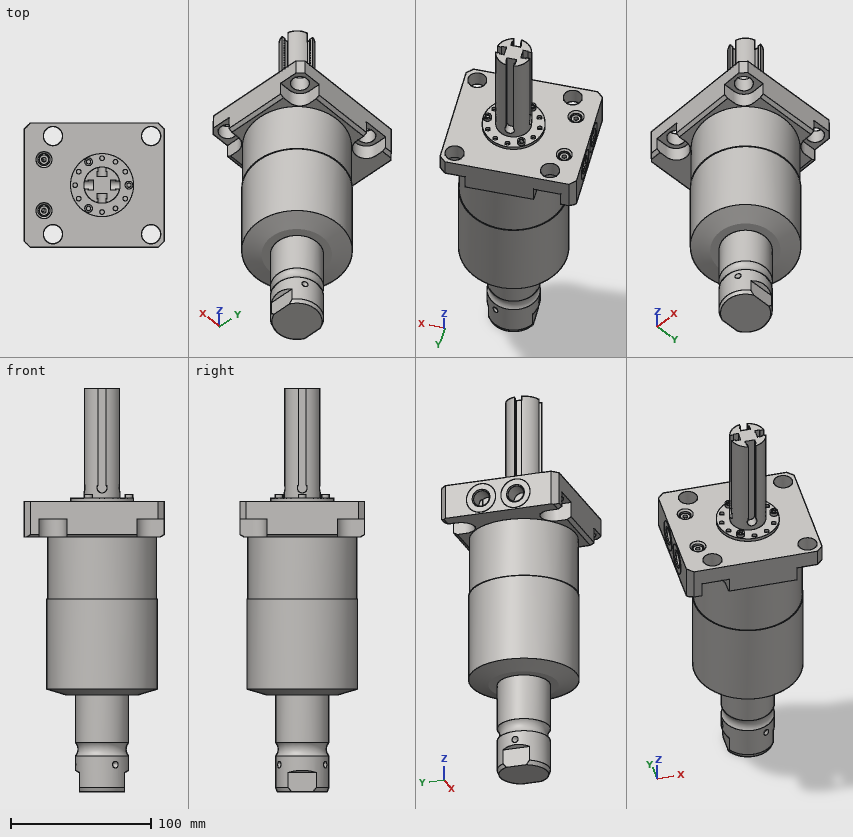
import cadquery as cq
import math


plate_length = 100.0
plate_width = 88.9
plate_thickness = 25.4
plate_x_max = plate_width / 2
plate_x_min = plate_x_max - plate_length
corner_chamfer = 4.5
bottom_chamfer_width = 3.0
bottom_chamfer_height = 1.7

bolt_spacing = 70.0
bolt_hole_diameter = 13.5
pocket_radius = 10.0
pocket_height = 12.8

port_y = 13.0
port_z = -13.3
port_diameter = 11.8
port_chamfer = 0.8
port_depth = 14.0
port_face_diameter = 22.0
port_face_depth = 0.2

plug_x = -41.4
plug_y = 18.2
plug_sink_diameter = 11.4
plug_bore_diameter = 8.6
plug_sink_depth = (plug_sink_diameter - plug_bore_diameter) / 2
plug_recess_depth = 2.2
plug_groove_inner_diameter = 6.8
plug_groove_depth = 0.8
plug_passage_diameter = 3.2
plug_passage_depth = 14.5

cover_diameter = 45.0
cover_height = 2.4
cover_hole_count = 12
cover_hole_circle_radius = 19.2
cover_hole_diameter = 3.3
screw_spacing = 4
screw_head_diameter = 5.5
screw_head_height = 2.6
screw_socket_width = 3.0
screw_socket_depth = 1.3

total_height = 287.88
shaft_diameter = 25.8
shaft_top = 80.7
slot_count = 4
slot_mouth_width = 5.6
slot_inner_width = 7.0
slot_floor_radius = 6.1
slot_lip_radius = 9.7
slot_end_height = 9.6

upper_body_diameter = 77.8
lower_body_diameter = 79.0
upper_body_bottom = -69.5
cone_top = -133.9
cone_bottom = -138.2
cone_end_diameter = 50.2
spindle_diameter = 38.1
spindle_bottom = shaft_top - total_height
spindle_chamfer_width = 1.2
spindle_chamfer_height = 3.2
groove_top = -172.0
groove_bottom = -181.4
groove_depth = 1.8

flat_half_width = 16.2
flat_top = -193.4
flat_run_out_angle = 30.0
dimple_count = 3
dimple_z = -187.7
dimple_diameter = 4.8
dimple_depth = dimple_diameter / 2


def upright_cylinder(diameter, bottom, top, x=0.0, y=0.0):
    """Cylinder parallel to Z between two heights."""
    return cq.Workplane("XY", origin=(x, y, bottom)).circle(diameter / 2).extrude(top - bottom)


def block(x_min, x_max, y_min, y_max, z_min, z_max):
    """Box given by its limits."""
    box = cq.Workplane("XY").box(x_max - x_min, y_max - y_min, z_max - z_min, centered=False)
    return box.translate((x_min, y_min, z_min))


def make_plate():
    """Plate with chamfered corners and three chamfered lower edges."""
    plate = block(plate_x_min, plate_x_max, -plate_width / 2, plate_width / 2, -plate_thickness, 0)
    plate = plate.edges("|Z").chamfer(corner_chamfer)
    half = plate_width / 2
    bottom = -plate_thickness
    wedge = (
        cq.Workplane("YZ", origin=(-plate_length, 0, 0))
        .moveTo(half, bottom)
        .lineTo(half - bottom_chamfer_width, bottom)
        .lineTo(half, bottom + bottom_chamfer_height)
        .close()
        .extrude(2 * plate_length)
    )
    for angle in (-90, 0, 180):
        plate = plate.cut(wedge.rotate((0, 0, 0), (0, 0, 1), angle))
    return plate


def pocket(x, y):
    """Round-ended clearance pocket, open to the nearest side of the plate."""
    top = pocket_height - plate_thickness
    y_side = math.copysign(plate_width, y)
    cutter = upright_cylinder(2 * pocket_radius, -plate_thickness, top, x, y)
    cutter = cutter.union(
        block(
            x - pocket_radius,
            x + pocket_radius,
            min(y, y_side),
            max(y, y_side),
            -plate_thickness,
            top,
        )
    )
    if x > 0:
        y_inner = y - math.copysign(pocket_radius, y)
        cutter = cutter.union(
            block(x, plate_length, min(y_inner, y_side), max(y_inner, y_side), -plate_thickness, top)
        )
    return cutter


def cut_bolt_holes_and_pockets(plate):
    for x in (-bolt_spacing / 2, bolt_spacing / 2):
        for y in (-bolt_spacing / 2, bolt_spacing / 2):
            plate = plate.cut(pocket(x, y))
            plate = plate.cut(upright_cylinder(bolt_hole_diameter, -plate_thickness, 0, x, y))
    return plate


def cut_ports(plate):
    """Two chamfered ports with shallow spot faces on the -X side."""
    for y in (-port_y, port_y):
        face = cq.Workplane("YZ", origin=(plate_x_min, y, port_z))
        plate = plate.cut(face.circle(port_face_diameter / 2).extrude(port_face_depth))
        plate = plate.cut(face.circle(port_diameter / 2).extrude(port_depth))
        mouth = cq.Solid.makeCone(
            port_diameter / 2 + port_chamfer,
            port_diameter / 2,
            port_chamfer,
            pnt=cq.Vector(plate_x_min + port_face_depth, y, port_z),
            dir=cq.Vector(1, 0, 0),
        )
        plate = plate.cut(cq.Workplane(mouth))
    return plate


def cut_plug_recesses(plate):
    """Countersunk recesses over the plugs, each with a passage down into its port."""
    sink_radius = plug_sink_diameter / 2
    bore_radius = plug_bore_diameter / 2
    recess = (
        cq.Workplane("XZ")
        .moveTo(0, 0)
        .lineTo(sink_radius, 0)
        .lineTo(bore_radius, -plug_sink_depth)
        .lineTo(bore_radius, -plug_recess_depth - plug_groove_depth)
        .lineTo(plug_groove_inner_diameter / 2, -plug_recess_depth)
        .lineTo(0, -plug_recess_depth)
        .close()
        .revolve(360, (0, 0, 0), (0, 1, 0))
    )
    for y in (-plug_y, plug_y):
        plate = plate.cut(recess.translate((plug_x, y, 0)))
        plate = plate.cut(upright_cylinder(plug_passage_diameter, -plug_passage_depth, 0, plug_x, y))
    return plate


def make_cover():
    """Seal cover with a ring of holes, every fourth one filled by a socket screw."""
    cover = upright_cylinder(cover_diameter, 0, cover_height)
    head_top = cover_height + screw_head_height
    for index in range(cover_hole_count):
        angle = 2 * math.pi * index / cover_hole_count
        x = cover_hole_circle_radius * math.cos(angle)
        y = cover_hole_circle_radius * math.sin(angle)
        if index % screw_spacing == 0:
            head = upright_cylinder(screw_head_diameter, cover_height, head_top, x, y)
            socket = (
                cq.Workplane("XY", origin=(x, y, head_top))
                .polygon(6, screw_socket_width, circumscribed=True)
                .extrude(-screw_socket_depth)
            )
            cover = cover.union(head.cut(socket))
        else:
            cover = cover.cut(upright_cylinder(cover_hole_diameter, 0, cover_height, x, y))
    return cover


def slot_part(width, inner_radius, outer_radius):
    """Straight part of a shaft slot on the +X side, running up to the shaft end."""
    return block(inner_radius, outer_radius, -width / 2, width / 2, slot_end_height, shaft_top)


def make_shaft():
    """Shaft with T-slots, each opening at its foot into a hole as wide as its inner part."""
    shaft = upright_cylinder(shaft_diameter, 0, shaft_top)
    slot = slot_part(slot_mouth_width, slot_floor_radius, shaft_diameter)
    slot = slot.union(slot_part(slot_inner_width, slot_floor_radius, slot_lip_radius))
    entry = cq.Workplane("YZ", origin=(slot_floor_radius, 0, slot_end_height))
    slot = slot.union(entry.circle(slot_inner_width / 2).extrude(shaft_diameter))
    for index in range(slot_count):
        shaft = shaft.cut(slot.rotate((0, 0, 0), (0, 0, 1), 360 * index / slot_count))
    return shaft


def make_body():
    """Revolved motor body, end cone and grooved spindle."""
    spindle_radius = spindle_diameter / 2
    return (
        cq.Workplane("XZ")
        .moveTo(0, -plate_thickness)
        .lineTo(upper_body_diameter / 2, -plate_thickness)
        .lineTo(upper_body_diameter / 2, upper_body_bottom)
        .lineTo(lower_body_diameter / 2, upper_body_bottom)
        .lineTo(lower_body_diameter / 2, cone_top)
        .lineTo(cone_end_diameter / 2, cone_bottom)
        .lineTo(spindle_radius, cone_bottom)
        .lineTo(spindle_radius, groove_top)
        .threePointArc(
            (spindle_radius - groove_depth, (groove_top + groove_bottom) / 2),
            (spindle_radius, groove_bottom),
        )
        .lineTo(spindle_radius, spindle_bottom + spindle_chamfer_height)
        .lineTo(spindle_radius - spindle_chamfer_width, spindle_bottom)
        .lineTo(0, spindle_bottom)
        .close()
        .revolve(360, (0, 0, 0), (0, 1, 0))
    )


def cut_wrench_flats(body):
    """Two opposite flats, each ending at a sloped run-out."""
    run_out_rise = (spindle_diameter - flat_half_width) * math.tan(math.radians(flat_run_out_angle))
    flat = (
        cq.Workplane("XZ", origin=(0, spindle_diameter, 0))
        .moveTo(flat_half_width, spindle_bottom)
        .lineTo(flat_half_width, flat_top)
        .lineTo(spindle_diameter, flat_top + run_out_rise)
        .lineTo(spindle_diameter, spindle_bottom)
        .close()
        .extrude(2 * spindle_diameter)
    )
    return body.cut(flat).cut(flat.mirror("YZ"))


def cut_dimples(body):
    """Conical dimples spaced evenly around the spindle, one of them facing -X."""
    radius = spindle_diameter / 2
    dimple = cq.Workplane(
        cq.Solid.makeCone(
            0,
            dimple_diameter,
            2 * dimple_depth,
            pnt=cq.Vector(dimple_depth - radius, 0, dimple_z),
            dir=cq.Vector(-1, 0, 0),
        )
    )
    for index in range(dimple_count):
        body = body.cut(dimple.rotate((0, 0, 0), (0, 0, 1), 360 * index / dimple_count))
    return body


plate = make_plate()
plate = cut_bolt_holes_and_pockets(plate)
plate = cut_ports(plate)
plate = cut_plug_recesses(plate)

body = make_body()
body = cut_wrench_flats(body)
body = cut_dimples(body)

result = plate.union(body).union(make_cover()).union(make_shaft())